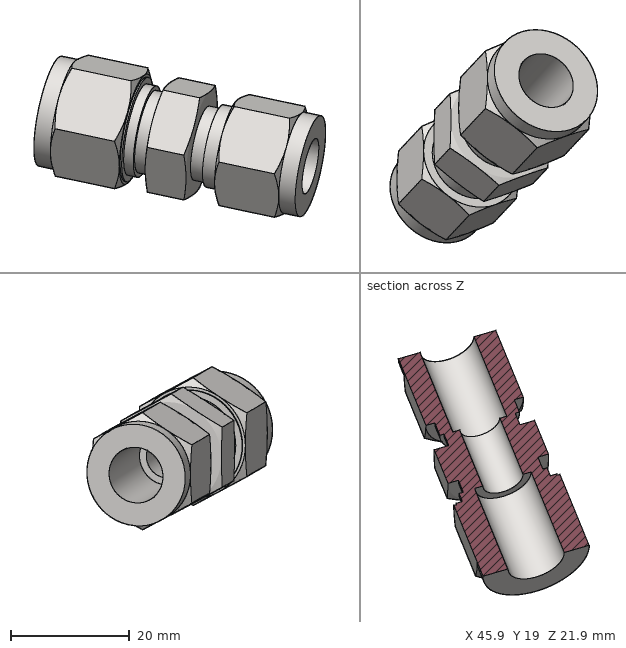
import cadquery as cq
import math

large_collar_end = 2.95
large_nut_end = 15.1
washer_face_end = 15.38
thread_relief_end = 17.07
body_hex_start = 19.5
body_hex_end = 26.7
small_neck_end = 29.05
small_nut_start = 31.65
small_nut_end = 43.0
total_length = 45.9

large_nut_flats = 19.0
body_hex_flats = 18.0
small_nut_flats = 17.45

washer_face_dia = 18.05
thread_relief_dia = 15.8
neck_dia = 14.27
small_neck_dia = 12.8

bore_dia = 7.1
large_socket_dia = 10.0
small_socket_dia = 9.55

nut_chamfer_angle = 30.0
body_chamfer_angle = 15.0


def cylinder(start, end, diameter):
    """Round section on the X axis between two stations."""
    return cq.Workplane("YZ", origin=(start, 0, 0)).circle(diameter / 2).extrude(end - start)


def chamfered_hexagon(start, end, flats, chamfer_angle):
    """Hexagon with corners at +Z and -Z, its corners turned to a cone at both ends."""
    inner_radius = flats / 2
    corner_radius = inner_radius / math.cos(math.pi / 6)
    chamfer_length = (corner_radius - inner_radius) * math.tan(math.radians(chamfer_angle))
    corners = [
        (corner_radius * math.sin(i * math.pi / 3), corner_radius * math.cos(i * math.pi / 3))
        for i in range(6)
    ]
    prism = cq.Workplane("YZ", origin=(start, 0, 0)).polyline(corners).close().extrude(end - start)
    turned_envelope = (
        cq.Workplane("XY")
        .moveTo(start, 0)
        .lineTo(start, inner_radius)
        .lineTo(start + chamfer_length, corner_radius)
        .lineTo(end - chamfer_length, corner_radius)
        .lineTo(end, inner_radius)
        .lineTo(end, 0)
        .close()
        .revolve(360, (0, 0, 0), (1, 0, 0))
    )
    return prism.intersect(turned_envelope)


outer_sections = [
    chamfered_hexagon(large_collar_end, large_nut_end, large_nut_flats, nut_chamfer_angle),
    cylinder(large_nut_end, washer_face_end, washer_face_dia),
    cylinder(washer_face_end, thread_relief_end, thread_relief_dia),
    cylinder(thread_relief_end, body_hex_start, neck_dia),
    chamfered_hexagon(body_hex_start, body_hex_end, body_hex_flats, body_chamfer_angle),
    cylinder(body_hex_end, small_neck_end, small_neck_dia),
    cylinder(small_neck_end, small_nut_start, neck_dia),
    chamfered_hexagon(small_nut_start, small_nut_end, small_nut_flats, nut_chamfer_angle),
    cylinder(small_nut_end, total_length, small_nut_flats),
]
fitting = cylinder(0, large_collar_end, large_nut_flats)
for section in outer_sections:
    fitting = fitting.union(section)

result = (
    fitting
    .cut(cylinder(0, total_length, bore_dia))
    .cut(cylinder(0, thread_relief_end, large_socket_dia))
    .cut(cylinder(small_neck_end, total_length, small_socket_dia))
)